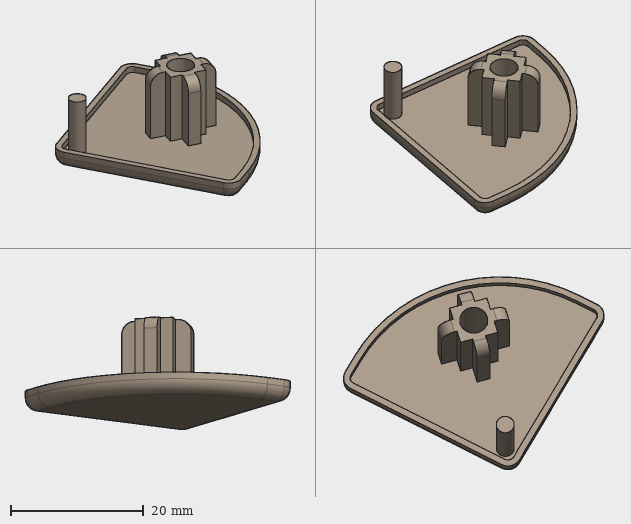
import cadquery as cq
import math

SIDE = 30.0
PLATE_HEIGHT = 3.0
CORNER_RADIUS = 2.0
ARC_RADIUS = 25.0
ARC_CENTER = SIDE - ARC_RADIUS
BOTTOM_FILLET = 1.98
RIM_WIDTH = 1.0
RIM_HEIGHT = 1.0
FLOOR_Z = PLATE_HEIGHT - RIM_HEIGHT

PIN_DIAMETER = 2.7
PIN_OFFSET = 3.0
PIN_TOP_Z = 11.0

HUB_CENTER = SIDE / 2
HUB_TOP_Z = 13.0
HUB_SIDE = 5.85
HUB_ANGLE = 45
RIB_SPAN = 10.7
RIB_WIDTH = 2.05
RIB_END_RADIUS = 2.0
BORE_DIAMETER = 4.2


def quarter_outline(inset):
    """Rounded quarter plate, moved inward from the plate edge by the inset."""
    low = inset
    high = SIDE - inset
    corner = CORNER_RADIUS - inset
    arc_middle = ARC_CENTER + (ARC_RADIUS - inset) * math.sqrt(0.5)
    near_middle = CORNER_RADIUS - corner * math.sqrt(0.5)
    return (
        cq.Workplane("XY")
        .moveTo(CORNER_RADIUS, low)
        .lineTo(high - corner, low)
        .radiusArc((high, CORNER_RADIUS), -corner)
        .lineTo(high, ARC_CENTER)
        .threePointArc((arc_middle, arc_middle), (ARC_CENTER, high))
        .lineTo(CORNER_RADIUS, high)
        .radiusArc((low, high - corner), -corner)
        .lineTo(low, CORNER_RADIUS)
        .threePointArc((near_middle, near_middle), (CORNER_RADIUS, low))
        .close()
    )


def make_plate():
    body = quarter_outline(0).extrude(PLATE_HEIGHT)
    body = body.faces("<Z").edges().fillet(BOTTOM_FILLET)
    pocket = quarter_outline(RIM_WIDTH).extrude(RIM_HEIGHT).translate((0, 0, FLOOR_Z))
    return body.cut(pocket)


def make_pin():
    return (
        cq.Workplane("XY", origin=(PIN_OFFSET, PIN_OFFSET, FLOOR_Z))
        .circle(PIN_DIAMETER / 2)
        .extrude(PIN_TOP_Z - FLOOR_Z)
    )


def make_hub():
    height = HUB_TOP_Z - FLOOR_Z
    hub = cq.Workplane("XY").rect(HUB_SIDE, HUB_SIDE).extrude(height)
    rib_pair = (
        cq.Workplane("XY")
        .rect(RIB_SPAN, RIB_WIDTH)
        .extrude(height)
        .edges(">Z and |Y")
        .fillet(RIB_END_RADIUS)
    )
    for angle in (0, 90):
        hub = hub.union(rib_pair.rotate((0, 0, 0), (0, 0, 1), angle))
    bore = cq.Workplane("XY").circle(BORE_DIAMETER / 2).extrude(height)
    return (
        hub.cut(bore)
        .rotate((0, 0, 0), (0, 0, 1), HUB_ANGLE)
        .translate((HUB_CENTER, HUB_CENTER, FLOOR_Z))
    )


result = make_plate().union(make_pin()).union(make_hub())